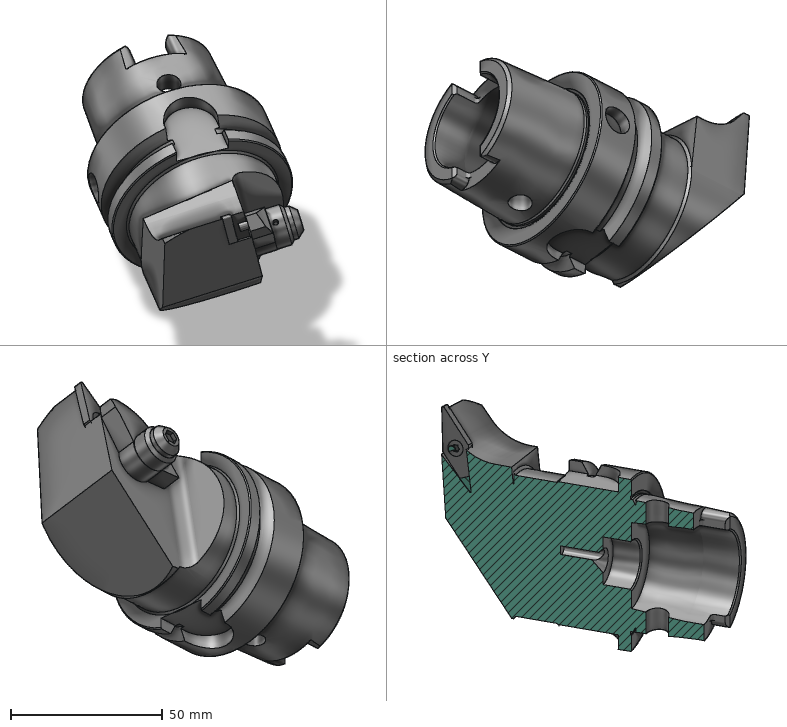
import cadquery as cq
import math


SHANK_LENGTH = 32.0
SHANK_CHAMFER = 1.1
TAPER_END_RADIUS = 22.7
TAPER_ROOT_RADIUS = 24.1
TAPER_END = -2.1
UNDERCUT_START = -1.3
UNDERCUT_RADIUS = 22.5
UNDERCUT_END = -0.4
UNDERCUT_EXIT_RADIUS = 24.3
FACE_RELIEF_RADIUS = 25.3
FACE_RELIEF_DEPTH = 0.4

FLANGE_DIAMETER = 63.0
FLANGE_RADIUS = FLANGE_DIAMETER / 2
FLANGE_EDGE = 0.4
GROOVE_OPEN_START = 14.5
GROOVE_FLOOR_START = 16.7
GROOVE_FLOOR_END = 18.9
GROOVE_OPEN_END = 21.4
GROOVE_WALL_RADIUS = 28.3
GROOVE_WALL_STEP = 0.6
GROOVE_FLOOR_RADIUS = 27.2
FLANGE_END = 26.0

NECK_RADIUS = 25.9
NECK_FILLET = 0.7
NECK_FLARE_START = 41.3
NECK_END = 42.1

BORE_MOUTH_RADIUS = 17.5
BORE_RADIUS = 16.9
BORE_CONE_START = -18.8
BORE_INNER_RADIUS = 15.6
BORE_FLOOR = 0.0
PILOT_RADIUS = 8.6
PILOT_CHAMFER = 0.5
PILOT_FLOOR = 10.1
CENTRE_CONE_RADIUS = 4.4
CENTRE_CONE_DEPTH = 4.4
COOLANT_RADIUS = 1.9
COOLANT_OFFSET = 1.2
COOLANT_DEPTH = 15.2

SLOT_HALF_WIDTH = 6.2
SLOT_FLARE_RADIUS = 2.5
SLOT_FLARE_HEIGHT = 20.6
SLOT_CORNER = 1.2
SLOT_MOUTH_CHAMFER = 1.2
UPPER_SLOT_END = -22.0
LOWER_SLOT_END = -25.8

CROSS_HOLE_RADIUS = 4.0
CROSS_HOLE_X = -9.0
CHIP_HOLE_RADIUS = 5.1
CHIP_HOLE_X = 6.9
CHIP_HOLE_DEPTH = 4.6

KEYWAY_RADIUS = 9.0
KEYWAY_CENTRE_X = 13.9
KEYWAY_FLOOR = 26.2

RAKE = cq.Vector(0.4, 5.7, 1.0).normalized()
SEAT_Y = 13.0
HEAD_RADIUS = 26.9
HEAD_CLEARANCE_RADIUS = 44.6
HEAD_DEPTH = 60.9
HEAD_ROOT = 35.5
GULLET_UP = 29.8
GULLET_ARC_START = 49.7
GULLET_ARC_END = (62.6, 35.7)
HEAD_TIP = (69.5, 44.6)
HEAD_HEEL = (67.1, 7.1)
HEAD_SLOPE_END = (43.6, -24.7)
HEAD_BOTTOM = -35.5
FACET_CORNERS = [(42.0, -HEAD_RADIUS, 0), (44.3, -HEAD_RADIUS, 23.8), (42.4, 4.9, 29.3)]
FACET_DEPTH = 20.3
RELIEF_FOOT = 36.8
RELIEF_LEAN = 18.6
RELIEF_HEIGHT = 40.6
RELIEF_FILLET = 5.6

INSERT_EDGE = 16.4
INSERT_ANGLE = 35.0
INSERT_TILT = 48.7
INSERT_THICKNESS = 3.0
INSERT_DROP = 4.9
INSERT_NOSE = 0.5
INSERT_TIP = (70.7, 46.6)
POCKET_EDGE = 1.3 * INSERT_EDGE

SCREW_HEAD_RADIUS = 2.7
SCREW_SHANK_RADIUS = 1.8
SCREW_LENGTH = 8.1
SCREW_SOCKET_SIZE = 2.6
SCREW_SOCKET_DEPTH = 1.2

CLAMP_HEIGHT = 7.3
CLAMP_TAIL = (43.2, 9.2)
CLAMP_ARC_MIDDLE = (55.8, 27.2)
CLAMP_ARC_END = (63.7, 35.3)
CLAMP_NOSE = (68.4, 32.8)
CLAMP_NOSE_LOW = 28.4
CLAMP_HEEL_START = (62.5, 16.2)
CLAMP_HEEL_END = (50.7, 9.2)
CLAMP_HEEL_TURN = -100.0
CLAMP_BEVEL_START = 3.7
CLAMP_BEVEL_MIDDLE = (32.8, 5.3)
CLAMP_BEVEL_END = 25.4
PIN_RADIUS = 1.37
PIN_LENGTH = 3.0
PIN_CENTRE = (64.8, 32.1)

NOZZLE_CENTRE = (55.3, 14.6)
NOZZLE_RADIUS = 7.0
NOZZLE_HEIGHT = 6.3
NOZZLE_CHAMFER = 1.2
JET_RADIUS = 0.9
JET_HEIGHT = 2.0
JET_ANGLE = 65.0
JET_DEPTH = 3.0
CAP_RADIUS = 5.7
CAP_TIP_RADIUS = 3.6
CAP_HEIGHT = 4.1
CAP_CONE_HEIGHT = 2.4
CAP_SOCKET_SIZE = 5.1
CAP_SOCKET_DEPTH = 1.5

REACH = 101.5


def seat_plane(height=0.0):
    """Plane parallel to the clamp seat, raised by height; its normal points down into the head."""
    origin = cq.Vector(0, SEAT_Y, 0) + RAKE * height
    return cq.Plane(origin=origin, xDir=(RAKE.y, -RAKE.x, 0), normal=RAKE * -1)


def upright_plane(angle=0.0, foot=(0, 0), height=0.0):
    """Plane standing on a foot point, with x turned by angle along the seat and y out of the seat."""
    seat = seat_plane(height)
    turn = math.radians(angle)
    along = seat.xDir * math.cos(turn) + seat.yDir * math.sin(turn)
    return cq.Plane(origin=seat.toWorldCoords(foot), xDir=along, normal=along.cross(RAKE))


def revolve_about_x(outline):
    return cq.Workplane("XY").polyline(outline).close().revolve(360, (0, 0, 0), (1, 0, 0))


def revolve_on_seat(outline, centre, height):
    """Turned body of (radius, height) points whose axis stands on the seat at centre."""
    plane = upright_plane(foot=centre, height=height)
    return cq.Workplane(plane).polyline(outline).close().revolve(360, (0, 0, 0), (0, 1, 0))


def hex_socket(centre, height, size, depth):
    return cq.Workplane(seat_plane(height)).center(*centre).polygon(6, size).extrude(depth)


def turned_body():
    bevel_x = SHANK_LENGTH - SHANK_CHAMFER
    outline = [
        (-SHANK_LENGTH, 0),
        (-SHANK_LENGTH, TAPER_END_RADIUS - SHANK_CHAMFER),
        (-bevel_x, TAPER_END_RADIUS),
        (TAPER_END, TAPER_ROOT_RADIUS),
        (UNDERCUT_START, TAPER_ROOT_RADIUS),
        (UNDERCUT_START, UNDERCUT_RADIUS),
        (UNDERCUT_END, UNDERCUT_EXIT_RADIUS),
        (FACE_RELIEF_DEPTH, UNDERCUT_EXIT_RADIUS),
        (FACE_RELIEF_DEPTH, FACE_RELIEF_RADIUS),
        (0, FACE_RELIEF_RADIUS),
        (0, FLANGE_RADIUS - FLANGE_EDGE),
        (FLANGE_EDGE, FLANGE_RADIUS),
        (GROOVE_OPEN_START, FLANGE_RADIUS),
        (GROOVE_FLOOR_START - GROOVE_WALL_STEP, GROOVE_WALL_RADIUS),
        (GROOVE_FLOOR_START, GROOVE_FLOOR_RADIUS),
        (GROOVE_FLOOR_END, GROOVE_FLOOR_RADIUS),
        (GROOVE_FLOOR_END + GROOVE_WALL_STEP, GROOVE_WALL_RADIUS),
        (GROOVE_OPEN_END, FLANGE_RADIUS),
        (FLANGE_END - FLANGE_EDGE, FLANGE_RADIUS),
        (FLANGE_END, FLANGE_RADIUS - FLANGE_EDGE),
        (FLANGE_END, NECK_RADIUS + NECK_FILLET),
        (FLANGE_END + NECK_FILLET, NECK_RADIUS),
        (NECK_FLARE_START, NECK_RADIUS),
        (NECK_END, HEAD_RADIUS),
        (NECK_END, 0),
    ]
    return revolve_about_x(outline)


def shank_bore():
    mouth = BORE_MOUTH_RADIUS - BORE_RADIUS
    outline = [
        (-SHANK_LENGTH, 0),
        (-SHANK_LENGTH, BORE_MOUTH_RADIUS),
        (-SHANK_LENGTH + mouth, BORE_RADIUS),
        (BORE_CONE_START, BORE_RADIUS),
        (BORE_FLOOR, BORE_INNER_RADIUS),
        (BORE_FLOOR, PILOT_RADIUS + PILOT_CHAMFER),
        (BORE_FLOOR + PILOT_CHAMFER, PILOT_RADIUS),
        (PILOT_FLOOR, PILOT_RADIUS),
        (PILOT_FLOOR, CENTRE_CONE_RADIUS),
        (PILOT_FLOOR + CENTRE_CONE_DEPTH, 0),
    ]
    coolant = (
        cq.Workplane("YZ", origin=(PILOT_FLOOR, -COOLANT_OFFSET, COOLANT_OFFSET))
        .circle(COOLANT_RADIUS)
        .extrude(COOLANT_DEPTH)
    )
    return revolve_about_x(outline).union(coolant)


def drive_slot(end_x, side):
    """Slot through one wall of the shank; side is +1 for the upper wall and -1 for the lower."""
    length = end_x + SHANK_LENGTH
    stem = (
        cq.Workplane("XY", origin=(-SHANK_LENGTH, 0, 0))
        .rect(2 * length, 2 * SLOT_HALF_WIDTH)
        .extrude(side * FLANGE_RADIUS)
        .edges("|Z and >X")
        .fillet(SLOT_CORNER)
    )
    mouth_y = SLOT_HALF_WIDTH + SLOT_MOUTH_CHAMFER
    mouth = (
        cq.Workplane("XY")
        .moveTo(-SHANK_LENGTH, -mouth_y)
        .lineTo(-SHANK_LENGTH + SLOT_MOUTH_CHAMFER, -SLOT_HALF_WIDTH)
        .lineTo(-SHANK_LENGTH + SLOT_MOUTH_CHAMFER, SLOT_HALF_WIDTH)
        .lineTo(-SHANK_LENGTH, mouth_y)
        .close()
        .extrude(side * FLANGE_RADIUS)
    )
    flare_y = SLOT_HALF_WIDTH + SLOT_FLARE_RADIUS
    flare_z = SLOT_FLARE_HEIGHT - SLOT_FLARE_RADIUS
    slant = SLOT_FLARE_RADIUS * math.sqrt(0.5)
    bend_y = flare_y - slant
    bend_z = flare_z + slant
    flare = (
        cq.Workplane("YZ", origin=(-SHANK_LENGTH, 0, 0))
        .moveTo(-SLOT_HALF_WIDTH, side * flare_z)
        .threePointArc((-bend_y, side * bend_z), (-flare_y, side * SLOT_FLARE_HEIGHT))
        .lineTo(-FLANGE_RADIUS, side * SLOT_FLARE_HEIGHT)
        .lineTo(-FLANGE_RADIUS, side * FLANGE_RADIUS)
        .lineTo(FLANGE_RADIUS, side * FLANGE_RADIUS)
        .lineTo(FLANGE_RADIUS, side * SLOT_FLARE_HEIGHT)
        .lineTo(flare_y, side * SLOT_FLARE_HEIGHT)
        .threePointArc((bend_y, side * bend_z), (SLOT_HALF_WIDTH, side * flare_z))
        .close()
        .extrude(length)
    )
    return stem.union(mouth).union(flare)


def keyway(side):
    length = FLANGE_END - KEYWAY_CENTRE_X
    plane = cq.Workplane("XY", origin=(KEYWAY_CENTRE_X, 0, side * KEYWAY_FLOOR))
    depth = side * (FLANGE_RADIUS - KEYWAY_FLOOR)
    straight = plane.center(length / 2, 0).rect(length, 2 * KEYWAY_RADIUS).extrude(depth)
    return plane.circle(KEYWAY_RADIUS).extrude(depth).union(straight)


def cross_hole():
    return (
        cq.Workplane("XY", origin=(CROSS_HOLE_X, 0, 0))
        .circle(CROSS_HOLE_RADIUS)
        .extrude(FLANGE_RADIUS, both=True)
    )


def chip_hole():
    return (
        cq.Workplane("XZ", origin=(CHIP_HOLE_X, CHIP_HOLE_DEPTH - FLANGE_RADIUS, 0))
        .circle(CHIP_HOLE_RADIUS)
        .extrude(FLANGE_RADIUS)
    )


def tool_head():
    profile = (
        cq.Workplane(seat_plane())
        .moveTo(HEAD_ROOT, GULLET_UP)
        .lineTo(GULLET_ARC_START, GULLET_UP)
        .tangentArcPoint(GULLET_ARC_END, relative=False)
        .lineTo(*HEAD_TIP)
        .lineTo(*HEAD_HEEL)
        .lineTo(*HEAD_SLOPE_END)
        .lineTo(HEAD_ROOT, HEAD_BOTTOM)
        .close()
        .extrude(HEAD_DEPTH)
    )
    section = cq.Workplane("YZ", origin=(NECK_END, 0, 0))
    round_half = section.circle(HEAD_RADIUS).extrude(REACH)
    square_half = section.center(0, REACH / 2).rect(2 * HEAD_RADIUS, REACH).extrude(REACH)
    clearance = section.circle(HEAD_CLEARANCE_RADIUS).extrude(REACH)
    return profile.intersect(round_half.union(square_half).intersect(clearance))


def corner_facet():
    """Tilted facet on the corner of the head where it rises above the neck."""
    a, b, c = [cq.Vector(*corner) for corner in FACET_CORNERS]
    plane = cq.Plane(origin=a, xDir=b - a, normal=(b - a).cross(c - a))
    slab = cq.Workplane(plane).rect(REACH, REACH).extrude(FACET_DEPTH)
    beyond_neck = cq.Workplane("YZ", origin=(NECK_END, 0, 0)).rect(REACH, REACH).extrude(FACET_DEPTH)
    return slab.intersect(beyond_neck)


def head_relief():
    """Cut on the +Y side that opens the neck down to the flat seat of the clamp."""
    lean = RELIEF_HEIGHT * math.tan(math.radians(RELIEF_LEAN))
    foot = seat_plane().toWorldCoords((RELIEF_FOOT, 0))
    return (
        cq.Workplane(upright_plane())
        .moveTo(RELIEF_FOOT, 0)
        .lineTo(REACH, 0)
        .lineTo(REACH, RELIEF_HEIGHT)
        .lineTo(RELIEF_FOOT - lean, RELIEF_HEIGHT)
        .close()
        .extrude(REACH, both=True)
        .edges(cq.selectors.NearestToPointSelector(foot.toTuple()))
        .fillet(RELIEF_FILLET)
    )


def make_holder():
    body = turned_body().union(tool_head())
    cuts = [
        shank_bore(),
        drive_slot(UPPER_SLOT_END, 1),
        drive_slot(LOWER_SLOT_END, -1),
        keyway(1),
        keyway(-1),
        cross_hole(),
        chip_hole(),
        corner_facet(),
        head_relief(),
        insert_rhombus(seat_plane(), POCKET_EDGE).extrude(INSERT_DROP + INSERT_THICKNESS),
        insert_screw_blank(),
    ]
    for cut in cuts:
        body = body.cut(cut)
    return body


def insert_edge_vectors(edge):
    steep = math.radians(INSERT_TILT + INSERT_ANGLE)
    shallow = math.radians(INSERT_TILT)
    return [(edge * math.cos(turn), edge * math.sin(turn)) for turn in (steep, shallow)]


def insert_point(share):
    """Point on the long diagonal: 0 at the inner corner, 1 at the cutting tip."""
    steep, shallow = insert_edge_vectors(INSERT_EDGE)
    back = 1 - share
    return (
        INSERT_TIP[0] - back * (steep[0] + shallow[0]),
        INSERT_TIP[1] - back * (steep[1] + shallow[1]),
    )


def insert_rhombus(plane, edge):
    """Rhombus growing from the inner corner of the insert, so a longer edge only opens outward."""
    steep, shallow = insert_edge_vectors(edge)
    return (
        cq.Workplane(plane)
        .moveTo(*insert_point(0))
        .line(*steep)
        .line(*shallow)
        .line(-steep[0], -steep[1])
        .close()
    )


def insert_screw_blank():
    head_height = SCREW_HEAD_RADIUS - SCREW_SHANK_RADIUS
    outline = [
        (0, 0),
        (SCREW_HEAD_RADIUS, 0),
        (SCREW_SHANK_RADIUS, -head_height),
        (SCREW_SHANK_RADIUS, -SCREW_LENGTH),
        (0, -SCREW_LENGTH),
    ]
    return revolve_on_seat(outline, insert_point(0.5), -INSERT_DROP)


def make_insert_screw():
    socket = hex_socket(insert_point(0.5), -INSERT_DROP, SCREW_SOCKET_SIZE, SCREW_SOCKET_DEPTH)
    return insert_screw_blank().cut(socket)


def make_insert():
    plane = seat_plane(-INSERT_DROP)
    tip = plane.toWorldCoords((*INSERT_TIP, INSERT_THICKNESS / 2)).toTuple()
    return (
        insert_rhombus(plane, INSERT_EDGE)
        .extrude(INSERT_THICKNESS)
        .edges(cq.selectors.NearestToPointSelector(tip))
        .fillet(INSERT_NOSE)
        .cut(insert_screw_blank())
    )


def make_clamp():
    heel_turn = math.radians(CLAMP_HEEL_TURN)
    heel_bottom = (
        NOZZLE_CENTRE[0] + NOZZLE_RADIUS * math.cos(heel_turn),
        NOZZLE_CENTRE[1] + NOZZLE_RADIUS * math.sin(heel_turn),
    )
    plate = (
        cq.Workplane(seat_plane())
        .moveTo(*CLAMP_TAIL)
        .threePointArc(CLAMP_ARC_MIDDLE, CLAMP_ARC_END)
        .lineTo(*CLAMP_NOSE)
        .lineTo(CLAMP_NOSE[0], CLAMP_NOSE_LOW)
        .lineTo(*CLAMP_HEEL_START)
        .threePointArc(heel_bottom, CLAMP_HEEL_END)
        .close()
        .extrude(-CLAMP_HEIGHT)
    )
    bevelled_side = (
        cq.Workplane(upright_plane(90))
        .lineTo(CLAMP_ARC_END[1], 0)
        .lineTo(CLAMP_ARC_END[1], CLAMP_BEVEL_START)
        .threePointArc(CLAMP_BEVEL_MIDDLE, (CLAMP_BEVEL_END, CLAMP_HEIGHT))
        .lineTo(0, CLAMP_HEIGHT)
        .close()
        .extrude(REACH, both=True)
    )
    return plate.intersect(bevelled_side)


def make_jet_pin():
    return cq.Workplane(seat_plane()).center(*PIN_CENTRE).circle(PIN_RADIUS).extrude(PIN_LENGTH)


def make_nozzle():
    outline = [
        (0, 0),
        (NOZZLE_RADIUS, 0),
        (NOZZLE_RADIUS, NOZZLE_HEIGHT - NOZZLE_CHAMFER),
        (NOZZLE_RADIUS - NOZZLE_CHAMFER, NOZZLE_HEIGHT),
        (0, NOZZLE_HEIGHT),
    ]
    ring = revolve_on_seat(outline, NOZZLE_CENTRE, CLAMP_HEIGHT)
    toward_jet = upright_plane(JET_ANGLE, NOZZLE_CENTRE, CLAMP_HEIGHT + JET_HEIGHT)
    jet_plane = cq.Plane(origin=toward_jet.origin, xDir=RAKE, normal=toward_jet.xDir)
    jet = (
        cq.Workplane(jet_plane)
        .workplane(offset=NOZZLE_RADIUS - JET_DEPTH)
        .circle(JET_RADIUS)
        .extrude(NOZZLE_RADIUS)
    )
    return ring.cut(jet)


def make_cap_screw():
    outline = [
        (0, 0),
        (CAP_RADIUS, 0),
        (CAP_RADIUS, CAP_HEIGHT - CAP_CONE_HEIGHT),
        (CAP_TIP_RADIUS, CAP_HEIGHT),
        (0, CAP_HEIGHT),
    ]
    base = CLAMP_HEIGHT + NOZZLE_HEIGHT
    socket = hex_socket(NOZZLE_CENTRE, base + CAP_HEIGHT, CAP_SOCKET_SIZE, CAP_SOCKET_DEPTH)
    return revolve_on_seat(outline, NOZZLE_CENTRE, base).cut(socket)


holder = make_holder()
insert = make_insert()
insert_screw = make_insert_screw()
clamp = make_clamp()
jet_pin = make_jet_pin()
nozzle = make_nozzle()
cap_screw = make_cap_screw()

result = cq.Compound.makeCompound(
    [
        holder.val(),
        insert.val(),
        insert_screw.val(),
        clamp.val(),
        jet_pin.val(),
        nozzle.val(),
        cap_screw.val(),
    ]
)